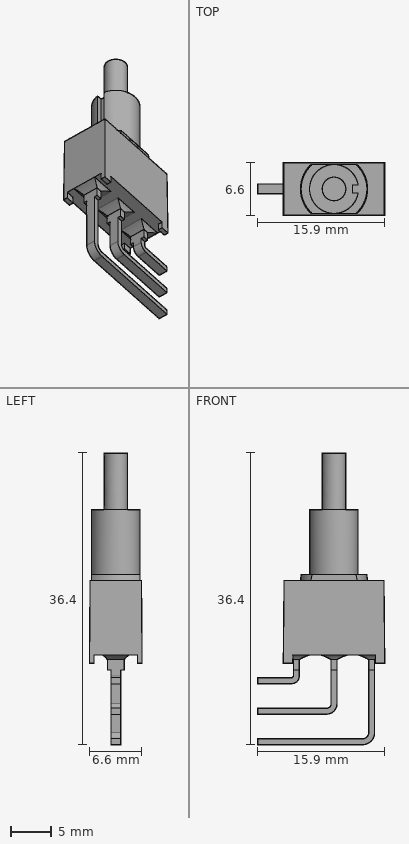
import cadquery as cq
import math


overall_length = 15.88
overall_height = 36.41

housing_height = 9.33
foot_height = 1.0
housing_base = (12.7, 6.6)
housing_top = (12.5, 6.45)
foot_length = 1.2
foot_width = 0.6

bushing_height = 8.86
bushing_diameter = 6.1
keyway_width = 1.0
keyway_floor = 2.3

flange_height = 0.76
flange_base_diameter = 8.4
flange_top_diameter = 8.2
flange_across_flats = bushing_diameter

plunger_base_diameter = 2.96
plunger_top_diameter = 2.95
plunger_height = 15.9

terminal_pitch = 4.7
terminal_thickness = 0.76
shank_width = 2.13
shank_depth = 1.87
lead_width = 1.25
lead_tip_x = housing_base[0] / 2 - overall_length
lowest_lead_z = housing_height + plunger_height - overall_height
lead_spacing = 3.81
inner_bend_radii = (0.22, 0.56, 0.77)

resin_depth = 0.55
resin_base_length = 3.28
resin_base_width = 3.3
resin_sag = 0.04


def make_housing():
    """Drafted block with a foot at each of its four bottom corners."""
    body = (
        cq.Workplane("XY").workplane(offset=-foot_height)
        .rect(*housing_base)
        .workplane(offset=housing_height + foot_height)
        .rect(*housing_top)
        .loft(combine=True, ruled=True)
    )
    length, width = housing_base
    gap_along_x = cq.Workplane("XY").box(
        length - 2 * foot_length, 2 * width, foot_height, centered=(True, True, False)
    )
    gap_along_y = cq.Workplane("XY").box(
        2 * length, width - 2 * foot_width, foot_height, centered=(True, True, False)
    )
    gaps = gap_along_x.union(gap_along_y).translate((0, 0, -foot_height))
    return body.cut(gaps)


def make_tapered_post(base_diameter, top_diameter, height):
    """Upright round post standing on the housing."""
    return cq.Workplane("XY").add(
        cq.Solid.makeCone(
            base_diameter / 2, top_diameter / 2, height, pnt=cq.Vector(0, 0, housing_height)
        )
    )


def make_flange():
    """Round flange trimmed by flats facing -Y and +Y."""
    disc = make_tapered_post(flange_base_diameter, flange_top_diameter, flange_height)
    flats = cq.Workplane("XY").box(
        flange_base_diameter, flange_across_flats, flange_height, centered=(True, True, False)
    )
    return disc.intersect(flats.translate((0, 0, housing_height)))


def make_bushing():
    """Round bushing with a keyway running down its +X side."""
    bushing = (
        cq.Workplane("XY").workplane(offset=housing_height)
        .circle(bushing_diameter / 2)
        .extrude(bushing_height)
    )
    keyway = cq.Workplane("XY").box(
        bushing_diameter, keyway_width, bushing_height, centered=(False, True, False)
    )
    return bushing.cut(keyway.translate((keyway_floor, 0, housing_height)))


def make_lead(x, top_z, floor_z, inner_radius):
    """Terminal that drops from top_z at x, then bends to run towards -X."""
    left = x - terminal_thickness / 2
    right = x + terminal_thickness / 2
    ceiling_z = floor_z + terminal_thickness
    outer_radius = inner_radius + terminal_thickness
    bend_x = left - inner_radius
    bend_z = ceiling_z + inner_radius
    diagonal = math.sqrt(0.5)
    outline = (
        cq.Workplane("XZ")
        .moveTo(left, top_z)
        .lineTo(left, bend_z)
        .threePointArc(
            (bend_x + inner_radius * diagonal, bend_z - inner_radius * diagonal),
            (bend_x, ceiling_z),
        )
        .lineTo(lead_tip_x, ceiling_z)
        .lineTo(lead_tip_x, floor_z)
        .lineTo(bend_x, floor_z)
        .threePointArc(
            (bend_x + outer_radius * diagonal, bend_z - outer_radius * diagonal),
            (right, bend_z),
        )
        .lineTo(right, top_z)
        .close()
    )
    return outline.extrude(lead_width / 2, both=True)


def make_shank(x):
    """Wide upper stretch of a terminal."""
    shank = cq.Workplane("XY").box(
        terminal_thickness, shank_width, shank_depth, centered=(True, True, False)
    )
    return shank.translate((x, 0, -shank_depth))


def make_resin_prism(plane, base_size, tip_size, depth):
    """Hanging prism whose two flanks curve inwards, extruded across the terminal."""
    mid_offset = (base_size + tip_size) / 4 - resin_sag
    mid_z = -resin_depth / 2 + resin_sag
    profile = (
        cq.Workplane(plane)
        .moveTo(-base_size / 2, 0)
        .threePointArc((-mid_offset, mid_z), (-tip_size / 2, -resin_depth))
        .lineTo(tip_size / 2, -resin_depth)
        .threePointArc((mid_offset, mid_z), (base_size / 2, 0))
        .close()
    )
    return profile.extrude(depth / 2, both=True)


def make_resin(x):
    """Resin fillet that narrows from the housing down to the shank."""
    along_x = make_resin_prism("XZ", resin_base_length, terminal_thickness, resin_base_width)
    along_y = make_resin_prism("YZ", resin_base_width, shank_width, resin_base_length)
    return along_x.intersect(along_y).translate((x, 0, 0))


result = make_housing()
result = result.union(make_flange())
result = result.union(make_bushing())
result = result.union(make_tapered_post(plunger_base_diameter, plunger_top_diameter, plunger_height))

for index, inner_radius in enumerate(inner_bend_radii):
    terminal_x = (index - 1) * terminal_pitch
    levels_above_lowest = len(inner_bend_radii) - 1 - index
    lead_z = lowest_lead_z + levels_above_lowest * lead_spacing
    result = result.union(make_resin(terminal_x))
    result = result.union(make_shank(terminal_x))
    result = result.union(make_lead(terminal_x, -shank_depth, lead_z, inner_radius))